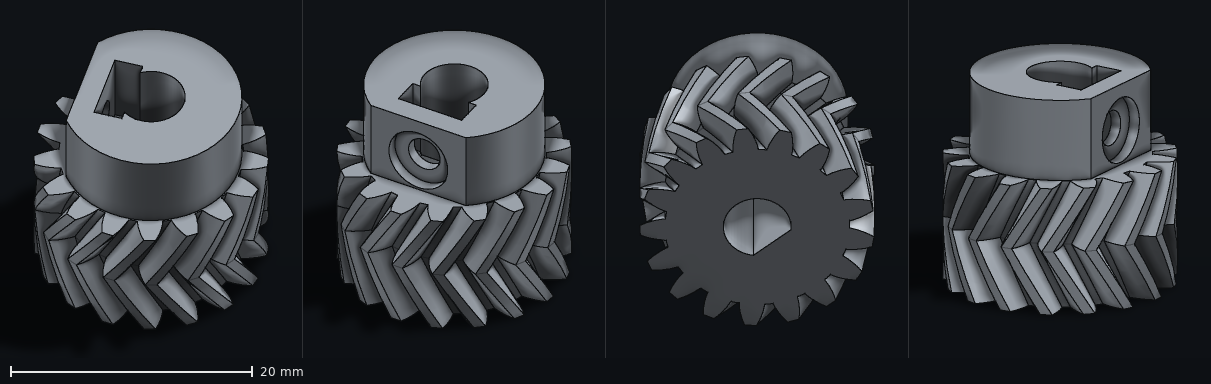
import cadquery as cq
import math

tooth_count = 17
tip_radius = 9.73
flank_mid_radius = 8.75
root_radius = 7.65
tip_half_angle = 2.9
flank_mid_half_angle = 5.7
root_half_angle = 8.0
gear_height = 11.01
half_height = gear_height / 2
helix_twist = 20.5

total_height = 18.0
hub_height = total_height - gear_height
hub_radius = 7.51
hub_flat_distance = 6.0

clamp_angle = 215.1

bore_diameter = 5.6
bore_flat_distance = 1.97

slot_inner_distance = 1.63
slot_outer_distance = 4.05
slot_width = 6.03
slot_floor = 11.25

screw_height = 14.01
screw_diameter = 3.0
head_diameter = 5.6
head_depth = 1.0


def polar(radius, angle):
    """Point at a radius and an angle in degrees."""
    return (radius * math.cos(math.radians(angle)), radius * math.sin(math.radians(angle)))


def gear_outline():
    """Closed outline of the toothed section, with one tooth centred on +X."""
    pitch_angle = 360.0 / tooth_count
    outline = cq.Workplane("XY").moveTo(*polar(root_radius, -root_half_angle))
    for tooth in range(tooth_count):
        centre = tooth * pitch_angle
        next_root = centre + pitch_angle - root_half_angle
        outline = (
            outline
            .threePointArc(
                polar(flank_mid_radius, centre - flank_mid_half_angle),
                polar(tip_radius, centre - tip_half_angle),
            )
            .threePointArc(polar(tip_radius, centre), polar(tip_radius, centre + tip_half_angle))
            .threePointArc(
                polar(flank_mid_radius, centre + flank_mid_half_angle),
                polar(root_radius, centre + root_half_angle),
            )
            .threePointArc(
                polar(root_radius, centre + pitch_angle / 2),
                polar(root_radius, next_root),
            )
        )
    return outline.close()


def herringbone_gear():
    """Gear whose top and bottom faces have a tooth on +X."""
    lower_half = gear_outline().twistExtrude(half_height, -helix_twist)
    upper_half = lower_half.mirror("XY", (0, 0, half_height))
    return lower_half.union(upper_half)


def hub():
    """Round boss with a flat facing +X."""
    boss = cq.Workplane("XY").workplane(offset=gear_height).circle(hub_radius).extrude(hub_height)
    beyond_flat = (
        cq.Workplane("XY")
        .workplane(offset=gear_height)
        .rect(hub_radius, 2 * hub_radius)
        .extrude(hub_height)
        .translate((hub_flat_distance + hub_radius / 2, 0, 0))
    )
    return boss.cut(beyond_flat)


def shaft_bore():
    """D-shaped through bore with its flat towards +X."""
    bore_radius = bore_diameter / 2
    flat_half_width = math.sqrt(bore_radius**2 - bore_flat_distance**2)
    return (
        cq.Workplane("XY")
        .moveTo(bore_flat_distance, flat_half_width)
        .threePointArc((-bore_radius, 0), (bore_flat_distance, -flat_half_width))
        .close()
        .extrude(total_height)
    )


def nut_slot():
    """Pocket between the bore and the hub flat."""
    slot_length = slot_outer_distance - slot_inner_distance
    return (
        cq.Workplane("XY")
        .workplane(offset=slot_floor)
        .center(slot_inner_distance + slot_length / 2, 0)
        .rect(slot_length, slot_width)
        .extrude(total_height - slot_floor)
    )


def screw_hole():
    """Stepped hole along X, from the hub flat into the nut slot."""
    def cylinder(diameter, start, end):
        return (
            cq.Workplane("YZ")
            .workplane(offset=start)
            .center(0, screw_height)
            .circle(diameter / 2)
            .extrude(end - start)
        )

    shank = cylinder(screw_diameter, slot_inner_distance, hub_flat_distance)
    head = cylinder(head_diameter, hub_flat_distance - head_depth, hub_flat_distance)
    return shank.union(head)


body = herringbone_gear().union(hub())
body = body.cut(shaft_bore()).cut(nut_slot()).cut(screw_hole())
result = body.rotate((0, 0, 0), (0, 0, 1), clamp_angle)